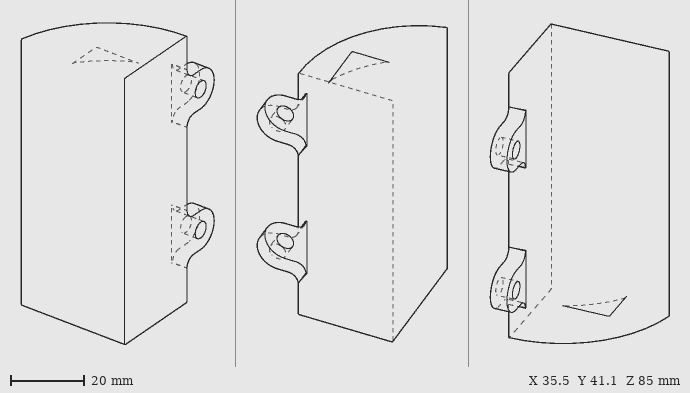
import cadquery as cq
import math

body_length = 85.0
body_depth = 28.7
arc_radius = 36.5
arc_center_y = body_depth - arc_radius
body_width = math.sqrt(arc_radius**2 - arc_center_y**2)
edge_round = 0.5
seam_tolerance = 0.001

block_left = 29.1
block_back = 26.1
block_length = 60.0

ear_radius = 6.2
ear_thickness = 5.0
ear_spacing = 44.9
ear_hole_diameter = 5.0
neck_radius = 3.0
ear_center_y = body_depth + ear_radius
ear_root_depth = 2.55


def make_body():
    """Quarter-like section with the front and end edges rounded."""
    mid_angle = (math.pi / 2 + math.atan2(-arc_center_y, -body_width)) / 2
    arc_middle = (
        arc_radius * math.cos(mid_angle),
        arc_center_y + arc_radius * math.sin(mid_angle),
    )
    body = (
        cq.Workplane("XY", origin=(0, 0, -body_length / 2))
        .lineTo(0, body_depth)
        .threePointArc(arc_middle, (-body_width, 0))
        .close()
        .extrude(body_length)
    )
    curved_end_edges = body.edges("%CIRCLE")
    front_edges = body.faces("<Y").edges("not(>X)")
    return body.newObject(curved_end_edges.vals() + front_edges.vals()).fillet(edge_round)


def make_block():
    """Block reaching deep into the body, rounded on its exposed edges."""
    block = cq.Workplane("XY").box(
        block_left, block_back - edge_round, block_length, centered=(False, False, True)
    )
    block = block.translate((-block_left, edge_round, 0))
    outer_edges = block.faces("<X").edges("not(<Y)").vals() + block.faces(">Y").edges("|X").vals()
    return block.newObject(outer_edges).fillet(edge_round)


def make_ear(center_z):
    """Round-ended ear with a hole and concave fillets at its neck."""
    neck_half = ear_radius + neck_radius
    neck_start_y = body_depth + neck_radius
    bend = neck_radius * math.sqrt(0.5)
    root_y = body_depth - ear_root_depth
    return (
        cq.Workplane("YZ", origin=(-ear_thickness, 0, center_z))
        .moveTo(root_y, -neck_half)
        .lineTo(body_depth, -neck_half)
        .threePointArc((neck_start_y - bend, bend - neck_half), (neck_start_y, -ear_radius))
        .lineTo(ear_center_y, -ear_radius)
        .threePointArc((ear_center_y + ear_radius, 0), (ear_center_y, ear_radius))
        .lineTo(neck_start_y, ear_radius)
        .threePointArc((neck_start_y - bend, neck_half - bend), (body_depth, neck_half))
        .lineTo(root_y, neck_half)
        .close()
        .moveTo(ear_center_y, 0)
        .circle(ear_hole_diameter / 2)
        .extrude(ear_thickness)
    )


def join_block(body, block):
    """Join the block to the body with a small fillet along the seam."""
    joined = body.union(block)
    margin = 2 * edge_round
    seam_zone = cq.Workplane("XY").box(
        block_left + margin, block_back + margin, block_length + margin, centered=(False, False, True)
    )
    seam_zone = seam_zone.translate((-block_left - margin / 2, margin / 2, 0)).val()

    def on_curved_face(edge):
        return all(
            abs(math.hypot(p.x, p.y - arc_center_y) - arc_radius) < seam_tolerance
            for p in edge.positions((0, 0.25, 0.5, 0.75, 1))
        )

    seam = [
        edge
        for edge in joined.edges().vals()
        if on_curved_face(edge) and seam_zone.isInside(edge.Center())
    ]
    return joined.newObject(seam).fillet(edge_round)


result = join_block(make_body(), make_block())
for side in (-1, 1):
    result = result.union(make_ear(side * ear_spacing / 2))